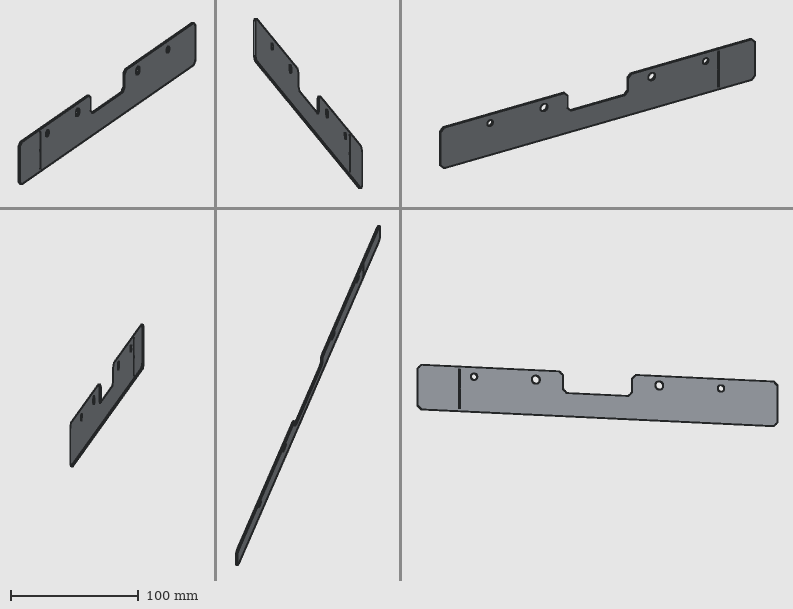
import cadquery as cq

thickness = 1.5
length = 291.5
height = 35.5
corner_chamfer = 3.0

notch_width = 56.0
notch_depth = 17.0

hole_drop = 7.5
inner_hole_spacing = 100.0
inner_hole_diameter = 6.5
outer_hole_spacing = 200.0
outer_hole_diameter = 5.2

slot_y = -112.0
slot_width = 1.2
slot_length = 15.0
slot_bridge = 1.0


def make_plate():
    """Notched plate with every corner of its outline chamfered."""
    plate = cq.Workplane("XY").box(thickness, length, height)
    notch = (
        cq.Workplane("XY")
        .box(thickness, notch_width, notch_depth)
        .translate((0, 0, (height - notch_depth) / 2))
    )
    return plate.cut(notch).edges("|X").chamfer(corner_chamfer)


def cut_hole_pair(plate, spacing, diameter):
    """Through holes on both sides of the middle of the plate."""
    hole_z = height / 2 - hole_drop
    centres = [(-spacing / 2, hole_z), (spacing / 2, hole_z)]
    holes = (
        cq.Workplane("YZ")
        .pushPoints(centres)
        .circle(diameter / 2)
        .extrude(thickness / 2, both=True)
    )
    return plate.cut(holes)


def cut_slots(plate):
    """Pair of upright round-ended through slots, equally far above and below mid-height."""
    slot_offset = (slot_length + slot_bridge) / 2
    slots = (
        cq.Workplane("YZ")
        .pushPoints([(slot_y, -slot_offset), (slot_y, slot_offset)])
        .slot2D(slot_length, slot_width, 90)
        .extrude(thickness / 2, both=True)
    )
    return plate.cut(slots)


result = make_plate()
result = cut_hole_pair(result, inner_hole_spacing, inner_hole_diameter)
result = cut_hole_pair(result, outer_hole_spacing, outer_hole_diameter)
result = cut_slots(result)